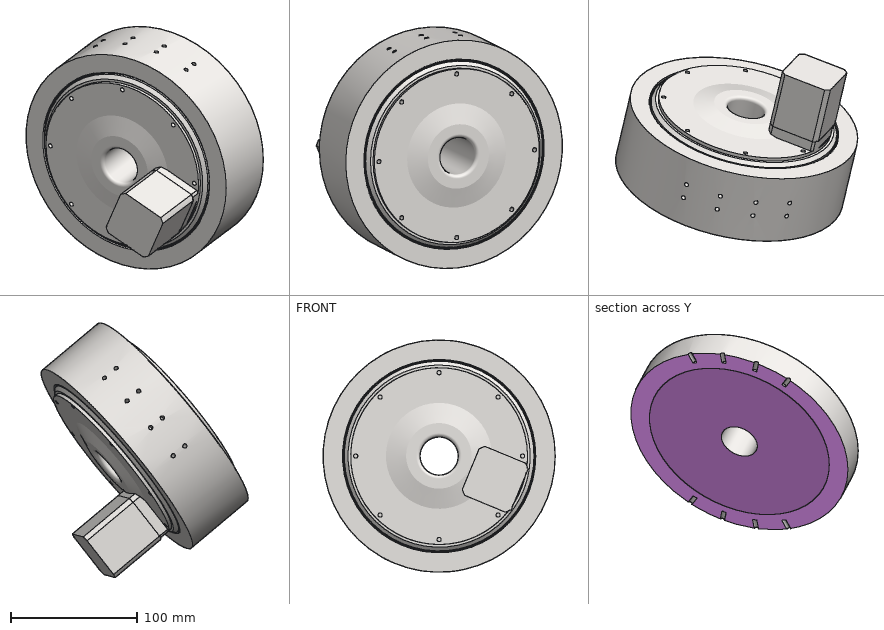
import cadquery as cq
import math


TYRE_RADIUS = 92.0
TYRE_HALF_WIDTH = 29.0
TYRE_BORE_RADIUS = 151.6 / 2
TYRE_RECESS_RADIUS = 153.0 / 2

RING_DEPTH = 2.2
BARREL_HALF_WIDTH = TYRE_HALF_WIDTH - RING_DEPTH

HOLE_RADIUS = 3.3 / 2
HOLE_DEPTH = 9.2

TYRE_HOLE_GROUP_ANGLES = (90, 270)
TYRE_HOLE_ROW_OFFSET = 6.0
TYRE_HOLE_PITCH_ANGLE = 18.0
TYRE_HOLES_PER_GROUP = 4

FLANGE_RADIUS = 150.1 / 2
SHOULDER_HALF_WIDTH = 32.0
SHOULDER_RADIUS = FLANGE_RADIUS - (SHOULDER_HALF_WIDTH - TYRE_HALF_WIDTH)
DISC_RADIUS = 140.0 / 2
DISC_HALF_WIDTH = 35.0
CONE_BASE_RADIUS = 42.0
CONE_TOP_RADIUS = 26.0
HUB_HALF_WIDTH = 39.0
BORE_RADIUS = 30.0 / 2
BORE_EDGE_FILLET = 3.0

DISC_HOLE_COUNT = 8
DISC_HOLE_CIRCLE_RADIUS = 66.0

BLOCK_SIDE = 42.0
BLOCK_CORNER_RADIUS = 27.2
BLOCK_CENTRE_RADIUS = 48.0
BLOCK_ANGLE = -22.5
BLOCK_BASE_Y = -43.5
OVERALL_LENGTH = 130.5
BLOCK_END_Y = HUB_HALF_WIDTH - OVERALL_LENGTH


def y_cylinder(radius, y_start, y_end):
    """Solid cylinder along the wheel axis between two Y positions."""
    return cq.Workplane("XZ", origin=(0, y_start, 0)).circle(radius).extrude(y_start - y_end)


def blind_hole(start, direction):
    """Cutter for one blind hole, from a point on the surface inwards."""
    return cq.Workplane(cq.Solid.makeCylinder(HOLE_RADIUS, HOLE_DEPTH, start, direction))


def make_tyre():
    """Ring with a shallow recess at each end of its bore and radial blind holes."""
    tyre = y_cylinder(TYRE_RADIUS, -TYRE_HALF_WIDTH, TYRE_HALF_WIDTH)
    tyre = tyre.cut(y_cylinder(TYRE_BORE_RADIUS, -TYRE_HALF_WIDTH, TYRE_HALF_WIDTH))
    for y_start, y_end in (
        (-TYRE_HALF_WIDTH, -BARREL_HALF_WIDTH),
        (BARREL_HALF_WIDTH, TYRE_HALF_WIDTH),
    ):
        tyre = tyre.cut(y_cylinder(TYRE_RECESS_RADIUS, y_start, y_end))
    for group_angle in TYRE_HOLE_GROUP_ANGLES:
        for index in range(TYRE_HOLES_PER_GROUP):
            step = index - (TYRE_HOLES_PER_GROUP - 1) / 2
            angle = math.radians(group_angle + step * TYRE_HOLE_PITCH_ANGLE)
            outward = cq.Vector(math.cos(angle), 0, math.sin(angle))
            for row_y in (-TYRE_HOLE_ROW_OFFSET, TYRE_HOLE_ROW_OFFSET):
                start = outward * TYRE_RADIUS + cq.Vector(0, row_y, 0)
                tyre = tyre.cut(blind_hole(start, outward * -1))
    return tyre


def block_prism(y_start, y_end):
    """Square prism with rounded-off corners, one side facing the wheel axis."""
    centre = (
        cq.Workplane("XZ", origin=(0, y_start, 0))
        .transformed(rotate=(0, 0, BLOCK_ANGLE))
        .center(BLOCK_CENTRE_RADIUS, 0)
    )
    length = y_start - y_end
    square = centre.rect(BLOCK_SIDE, BLOCK_SIDE).extrude(length)
    return square.intersect(centre.circle(BLOCK_CORNER_RADIUS).extrude(length))


def make_hub():
    """Revolved hub with a coned centre, a bore and the foot that carries the block."""
    half_profile = [
        (TYRE_BORE_RADIUS, BARREL_HALF_WIDTH),
        (FLANGE_RADIUS, BARREL_HALF_WIDTH),
        (FLANGE_RADIUS, TYRE_HALF_WIDTH),
        (SHOULDER_RADIUS, SHOULDER_HALF_WIDTH),
        (DISC_RADIUS, SHOULDER_HALF_WIDTH),
        (DISC_RADIUS, DISC_HALF_WIDTH),
        (CONE_BASE_RADIUS, DISC_HALF_WIDTH),
        (CONE_TOP_RADIUS, HUB_HALF_WIDTH),
        (0, HUB_HALF_WIDTH),
    ]
    mirrored_profile = [(radius, -y) for radius, y in reversed(half_profile)]
    hub = (
        cq.Workplane("XY")
        .polyline(half_profile + mirrored_profile)
        .close()
        .revolve(360, (0, 0, 0), (0, 1, 0))
    )

    bore = y_cylinder(BORE_RADIUS, -HUB_HALF_WIDTH, HUB_HALF_WIDTH)
    hub = hub.cut(bore)
    hub = hub.edges(cq.selectors.RadiusNthSelector(0)).fillet(BORE_EDGE_FILLET)

    foot = block_prism(BLOCK_BASE_Y, 0).intersect(y_cylinder(DISC_RADIUS, BLOCK_BASE_Y, 0))
    hub = hub.union(foot)

    for index in range(DISC_HOLE_COUNT):
        angle = math.radians(index * 360 / DISC_HOLE_COUNT)
        x = DISC_HOLE_CIRCLE_RADIUS * math.cos(angle)
        z = DISC_HOLE_CIRCLE_RADIUS * math.sin(angle)
        for side in (-1, 1):
            start = cq.Vector(x, side * DISC_HALF_WIDTH, z)
            hub = hub.cut(blind_hole(start, cq.Vector(0, -side, 0)))
    return hub


tyre = make_tyre()
hub = make_hub()
block = block_prism(BLOCK_END_Y, BLOCK_BASE_Y)

result = cq.Compound.makeCompound([tyre.val(), hub.val(), block.val()])